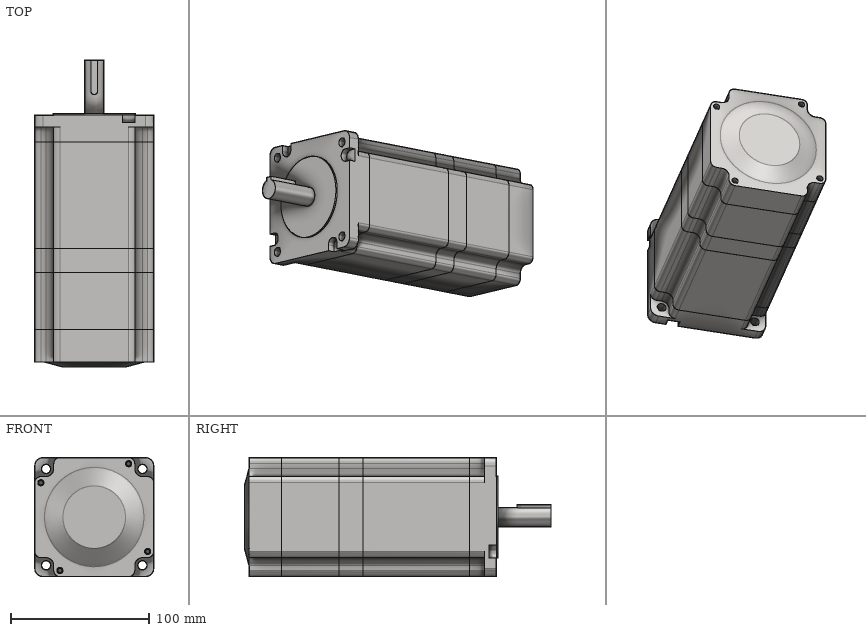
import cadquery as cq
import math


width = 86.0
half_width = width / 2
corner_wall = 29.3
recess_radius = 5.8
shoulder_radius = 4.5

flange_thickness = 8.7
flange_corner_radius = 6.0
mount_hole_diameter = 6.5
mount_hole_offset = 34.8
boss_diameter = 59.5
boss_height = 1.3

front_section_end = 19.5
stator_end = 96.3
spacer_end = 113.8
middle_end = 155.0
rear_section_end = 178.6

cone_base_radius = 36.0
cone_end_radius = 22.6
cone_height = 3.5

screw_long_offset = 38.5
screw_short_offset = 24.9
screw_pocket_width = 9.0
screw_pocket_depth = 5.3
screw_hole_diameter = 3.0
screw_bore_diameter = 4.5
screw_bore_depth = 8.9

total_length = 222.0
shaft_diameter = 14.0
shaft_length = total_length - boss_height - rear_section_end - cone_height
key_width = 4.9
key_length = 24.9
key_top = 9.0


def section_at(y):
    """Cross-section workplane at position y: local axes X and Z, extruding toward -Y."""
    return cq.Workplane("XZ", origin=(0, y, 0))


def turned(point, quarters):
    """Point of the cross-section turned clockwise by a number of quarter turns."""
    x, z = point
    for _ in range(quarters):
        x, z = z, -x
    return (x, z)


def stack_section(start, end):
    """Square block with rounded corner recesses between two depths."""
    shoulder_center = corner_wall - shoulder_radius
    shoulder_end = half_width - shoulder_radius
    shoulder_mid = shoulder_radius * math.sqrt(0.5)
    recess_center = corner_wall + recess_radius
    recess_mid = recess_center - recess_radius * math.sqrt(0.5)

    outline = section_at(-start).moveTo(-shoulder_center, half_width)
    for quarter in range(4):
        outline = (
            outline
            .lineTo(*turned((shoulder_center, half_width), quarter))
            .threePointArc(
                turned((shoulder_center + shoulder_mid, shoulder_end + shoulder_mid), quarter),
                turned((corner_wall, shoulder_end), quarter),
            )
            .lineTo(*turned((corner_wall, recess_center), quarter))
            .threePointArc(
                turned((recess_mid, recess_mid), quarter),
                turned((recess_center, corner_wall), quarter),
            )
            .lineTo(*turned((shoulder_end, corner_wall), quarter))
            .threePointArc(
                turned((shoulder_end + shoulder_mid, shoulder_center + shoulder_mid), quarter),
                turned((half_width, shoulder_center), quarter),
            )
        )
    return outline.close().extrude(end - start)


def screw_pocket(quarter):
    """Round-bottomed slot in the mounting face, open to one side of the flange."""
    radius = screw_pocket_width / 2
    left = screw_short_offset - radius
    right = screw_short_offset + radius
    return (
        section_at(0)
        .moveTo(*turned((left, half_width), quarter))
        .lineTo(*turned((left, screw_long_offset), quarter))
        .threePointArc(
            turned((screw_short_offset, screw_long_offset - radius), quarter),
            turned((right, screw_long_offset), quarter),
        )
        .lineTo(*turned((right, half_width), quarter))
        .close()
        .extrude(screw_pocket_depth)
    )


def make_front_section():
    """Flange with pilot boss, mounting holes and screw slots, plus the first length of body."""
    flange = (
        section_at(0)
        .rect(width, width)
        .extrude(flange_thickness)
        .edges("|Y")
        .fillet(flange_corner_radius)
    )
    mount_holes = (
        section_at(0)
        .rect(2 * mount_hole_offset, 2 * mount_hole_offset, forConstruction=True)
        .vertices()
        .circle(mount_hole_diameter / 2)
        .extrude(flange_thickness)
    )
    flange = flange.cut(mount_holes)
    for quarter in range(4):
        flange = flange.cut(screw_pocket(quarter))
    boss = section_at(boss_height).circle(boss_diameter / 2).extrude(boss_height)
    return flange.union(stack_section(flange_thickness, front_section_end)).union(boss)


def make_rear_section():
    """Last length of body with its conical end and counterbored screw holes."""
    cone = (
        cq.Workplane("XY")
        .moveTo(0, -rear_section_end)
        .lineTo(cone_base_radius, -rear_section_end)
        .lineTo(cone_end_radius, -rear_section_end - cone_height)
        .lineTo(0, -rear_section_end - cone_height)
        .close()
        .revolve(360, (0, 0, 0), (0, 1, 0))
    )
    section = stack_section(middle_end, rear_section_end).union(cone)
    screw_points = [turned((screw_short_offset, screw_long_offset), quarter) for quarter in range(4)]
    holes = section_at(-middle_end).pushPoints(screw_points).circle(screw_hole_diameter / 2)
    counterbores = (
        section_at(screw_bore_depth - rear_section_end)
        .pushPoints(screw_points)
        .circle(screw_bore_diameter / 2)
    )
    section = section.cut(holes.extrude(rear_section_end - middle_end))
    return section.cut(counterbores.extrude(screw_bore_depth))


def make_shaft():
    """Round shaft with a raised key, rounded at the inner end, along its top."""
    shaft_end = boss_height + shaft_length
    rod = section_at(shaft_end).circle(shaft_diameter / 2).extrude(shaft_length)
    key_round = key_width / 2
    key_start = shaft_end - key_length
    key = (
        cq.Workplane("XY")
        .moveTo(-key_round, shaft_end)
        .lineTo(-key_round, key_start + key_round)
        .threePointArc((0, key_start), (key_round, key_start + key_round))
        .lineTo(key_round, shaft_end)
        .close()
        .extrude(key_top)
    )
    return rod.union(key)


front_section = make_front_section()
stator = stack_section(front_section_end, stator_end)
spacer = stack_section(stator_end, spacer_end)
middle_section = stack_section(spacer_end, middle_end)
rear_section = make_rear_section()
shaft = make_shaft()

result = cq.Compound.makeCompound([
    front_section.val(),
    stator.val(),
    spacer.val(),
    middle_section.val(),
    rear_section.val(),
    shaft.val(),
])